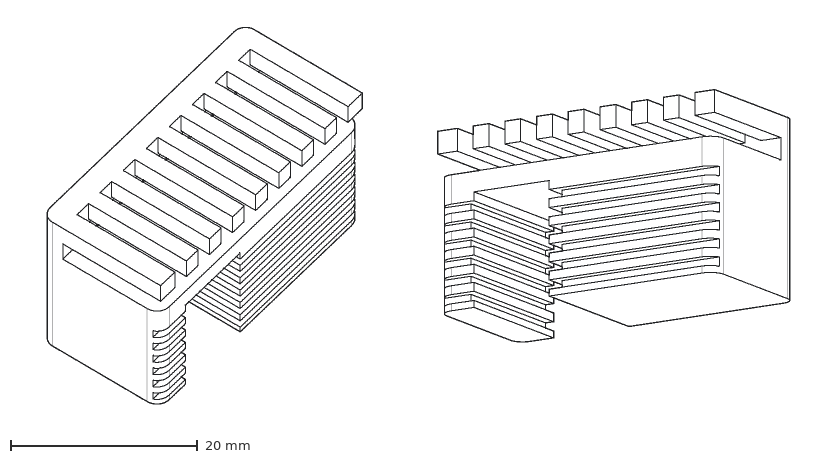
import cadquery as cq

length = 35.0
height = 20.0
plate_reach = 16.2
block_reach = 16.05
front_corner_radius = 1.5
back_corner_radius = 1.68

wall = 2.9
plate_thickness = 2.52
block_height = 15.0
gap_height = height - plate_thickness - block_height

slot_count = 8
outer_finger_width = 2.5
slot_width = (length - 2 * outer_finger_width) / (2 * slot_count - 1)
slot_pitch = 2 * slot_width

hole_count = 7
hole_pitch = slot_pitch
hole_height = 16.25
hole_outer_diameter = 3.08
hole_inner_diameter = 2.0

passage_width = 9.5
passage_height = 12.75
passage_y = -8.25

groove_count = 6
groove_width = 1.0
groove_depth = 1.0
groove_pitch = 2.0
first_groove_z = 0.77


def box(x_min, x_size, y_center, y_size, z_min, z_size):
    """Box from its low X, middle Y and low Z."""
    return cq.Workplane("XY").box(x_size, y_size, z_size, centered=(False, True, False)).translate(
        (x_min, y_center, z_min)
    )


def make_body():
    """Block and top plate joined by the wall at X = 0."""
    block = box(0, block_reach, 0, length, 0, block_height).edges("|Z and >X").fillet(back_corner_radius)
    joining_wall = box(0, wall, 0, length, block_height, gap_height)
    plate = box(0, plate_reach, 0, length, height - plate_thickness, plate_thickness)
    return block.union(joining_wall).union(plate).edges("|Z and <X").fillet(front_corner_radius)


def row(count, pitch):
    """Places of a row of features centred on zero."""
    return [(i - (count - 1) / 2) * pitch for i in range(count)]


def cut_comb_slots(body):
    for y in row(slot_count, slot_pitch):
        body = body.cut(
            box(wall, plate_reach - wall, y, slot_width, height - plate_thickness, plate_thickness)
        )
    return body


def cut_tapered_holes(body):
    for y in row(hole_count, hole_pitch):
        cone = cq.Solid.makeCone(
            hole_outer_diameter / 2,
            hole_inner_diameter / 2,
            wall,
            pnt=cq.Vector(0, y, hole_height),
            dir=cq.Vector(1, 0, 0),
        )
        body = body.cut(cq.Workplane(obj=cone))
    return body


def cut_passage(body):
    return body.cut(box(0, block_reach, passage_y, passage_width, 0, passage_height))


def cut_grooves(body):
    for i in range(groove_count):
        z = first_groove_z + i * groove_pitch
        body = body.cut(
            box(0, block_reach, passage_y, passage_width + 2 * groove_depth, z, groove_width)
        )
        body = body.cut(box(block_reach - groove_depth, groove_depth, 0, length, z, groove_width))
    return body


result = make_body()
result = cut_comb_slots(result)
result = cut_tapered_holes(result)
result = cut_passage(result)
result = cut_grooves(result)